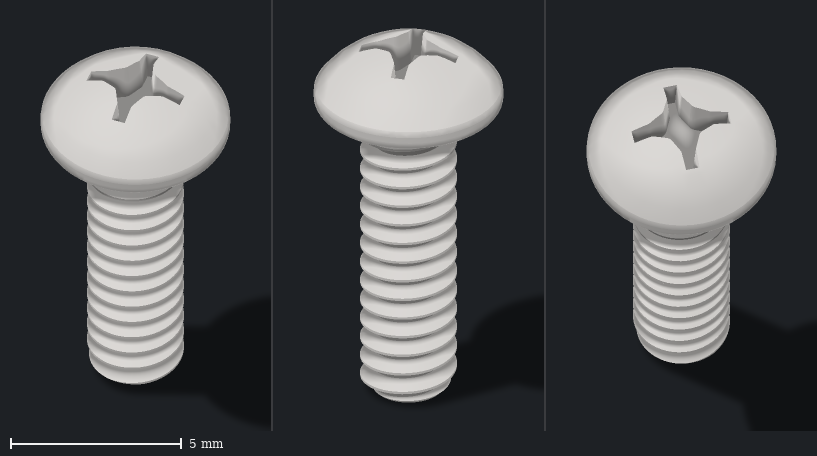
import cadquery as cq
import math

total_length = 11.5

head_diameter = 5.55
head_height = 1.97
dome_radius = 3.37
dome_rise = 0.064
rim_fillet = 0.29

major_diameter = 2.84
pitch = 0.63
flank_angle = 30.0
crest_width = pitch / 8
core_radius = 1.02
crest_start = 0.54
thread_overlap = 0.06
lead_in_turns = 2
run_out_turns = 1
envelope_margin = 0.12

neck_top_radius = 1.47
neck_length = 1.22

recess_depth = 1.17
recess_draft = 4.9
wing_half_width = 0.23
wing_half_length = 1.48
wing_throat = 0.93
throat_flare = 25.6
throat_fillet = 0.13
corner_fillet = 0.23

dome_apex = total_length + dome_rise
underside = total_length - head_height
major_radius = major_diameter / 2
head_radius = head_diameter / 2


def revolve_profile(points):
    """Solid of revolution about Z from (radius, height) points."""
    return cq.Workplane("XZ").polyline(points).close().revolve()


def make_head():
    """Cylinder capped by a sphere, with both rim edges rounded."""
    ball = cq.Workplane().sphere(dome_radius).translate((0, 0, dome_apex - dome_radius))
    blank = cq.Workplane().workplane(offset=underside).circle(head_radius).extrude(dome_apex - underside)
    return blank.intersect(ball).edges("%CIRCLE").fillet(rim_fillet)


def make_core():
    """Root cylinder of the thread, widening to the neck under the head."""
    profile = [
        (0, 0),
        (core_radius, 0),
        (core_radius, underside - neck_length),
        (neck_top_radius, underside),
        (0, underside),
    ]
    return revolve_profile(profile)


def make_thread():
    """Right-handed ridge, trimmed by a 45 degree point and by the head's underside."""
    base_radius = core_radius - thread_overlap
    crest_half = crest_width / 2
    base_half = crest_half + (major_radius - base_radius) * math.tan(math.radians(flank_angle))
    start = crest_start - lead_in_turns * pitch
    turns = math.ceil((underside - start) / pitch) + run_out_turns
    path = cq.Wire.makeHelix(pitch, turns * pitch, base_radius, center=cq.Vector(0, 0, start))
    ridge = (
        cq.Workplane("XZ")
        .polyline(
            [
                (base_radius, start - base_half),
                (major_radius, start - crest_half),
                (major_radius, start + crest_half),
                (base_radius, start + base_half),
            ]
        )
        .close()
        .sweep(cq.Workplane(path), isFrenet=True)
    )
    envelope_radius = major_radius + envelope_margin
    envelope = revolve_profile(
        [
            (0, 0),
            (core_radius, 0),
            (envelope_radius, envelope_radius - core_radius),
            (envelope_radius, underside),
            (0, underside),
        ]
    )
    return ridge.intersect(envelope)


def make_recess():
    """Four-winged pocket with flared throats, narrowing evenly to a flat floor."""
    flare = math.tan(math.radians(throat_flare))
    corner = (wing_half_width + wing_throat * flare) / (1 + flare)
    quarter = [
        (wing_half_length, -wing_half_width),
        (wing_half_length, wing_half_width),
        (wing_throat, wing_half_width),
        (corner, corner),
        (wing_half_width, wing_throat),
    ]
    points = []
    for cosine, sine in [(1, 0), (0, 1), (-1, 0), (0, -1)]:
        for x, y in quarter:
            points.append(cq.Vector(x * cosine - y * sine, x * sine + y * cosine, dome_apex))
    outline = cq.Wire.makePolygon(points, close=True)

    def vertices_between(inner, outer):
        return [v for v in outline.Vertices() if inner < math.hypot(v.X, v.Y) < outer]

    throats = vertices_between(wing_throat, wing_half_length)
    corners = vertices_between(0, wing_throat)
    outline = outline.fillet2D(throat_fillet, throats)
    outline = outline.fillet2D(corner_fillet, corners)
    return cq.Workplane().add(outline).toPending().extrude(-recess_depth, taper=recess_draft)


result = make_core().union(make_thread()).union(make_head()).cut(make_recess())